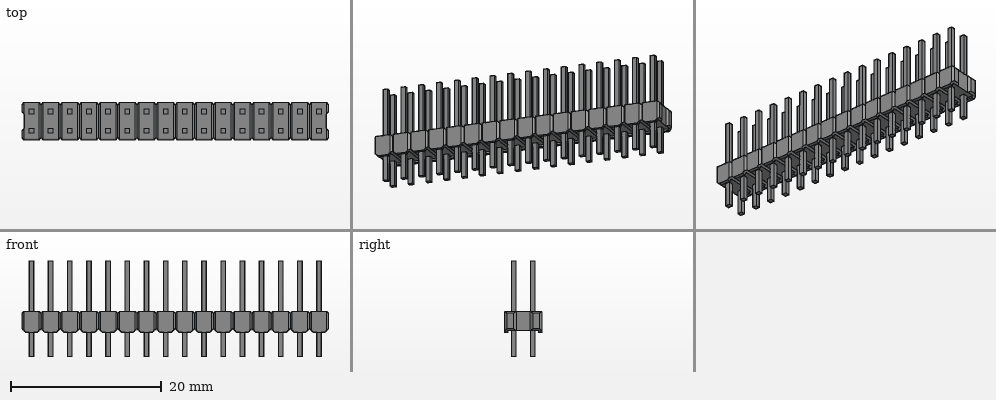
import cadquery as cq

PITCH = 2.54
COLUMNS = 16
ROWS = 2

PIN_WIDTH = 0.64
PIN_LENGTH = 12.7
PIN_TAIL = 3.2

BLOCK_DEPTH = 5.0
BLOCK_HEIGHT = 2.8
SIDE_INSET = 0.25
CORNER_SETBACK = 0.35
TOP_DROP = 0.25
TOP_RADIUS = 0.2
BOTTOM_CHAMFER = 0.5
FOOT_WIDTH = 0.5
FOOT_HEIGHT = 0.25

RECESS_DEPTH = 0.3
RECESS_MOUTH = 2.54
RECESS_FLOOR = 1.84

ROW_LENGTH = COLUMNS * PITCH


def centred_positions(count):
    """Coordinates of pitch-spaced items centred on zero."""
    return [(index - (count - 1) / 2) * PITCH for index in range(count)]


def mirrored(right_half):
    """Closed outline from its right half, which runs from bottom to top."""
    left_half = [(-across, up) for across, up in reversed(right_half)]
    return right_half + left_half


def make_block():
    """One insulator block: the overlap of solids shaped along Y, Z and X."""
    half_width = PITCH / 2
    half_depth = BLOCK_DEPTH / 2
    end_outline = [
        (half_width - BOTTOM_CHAMFER, 0),
        (half_width, BOTTOM_CHAMFER),
        (half_width, BLOCK_HEIGHT - TOP_DROP),
        (half_width - SIDE_INSET, BLOCK_HEIGHT),
    ]
    plan_outline = [
        (half_width - SIDE_INSET, -half_depth),
        (half_width, -half_depth + CORNER_SETBACK),
        (half_width, half_depth - CORNER_SETBACK),
        (half_width - SIDE_INSET, half_depth),
    ]

    along_y = cq.Workplane("XZ").polyline(mirrored(end_outline)).close().extrude(half_depth, both=True)
    along_z = cq.Workplane("XY").polyline(mirrored(plan_outline)).close().extrude(BLOCK_HEIGHT)
    along_x = cq.Workplane("XY").box(PITCH, BLOCK_DEPTH, BLOCK_HEIGHT, centered=(True, True, False))
    along_x = along_x.edges("|X and >Z").fillet(TOP_RADIUS)
    return along_y.intersect(along_z).intersect(along_x)


def make_channel():
    """Cutter that leaves a foot along each long side of the underside."""
    channel_width = BLOCK_DEPTH - 2 * FOOT_WIDTH
    return cq.Workplane("XY").box(ROW_LENGTH, channel_width, FOOT_HEIGHT, centered=(True, True, False))


def make_end_recess(side):
    """Cutter for the recess in the end face at side = -1 or +1 along X."""
    mouth_x = side * ROW_LENGTH / 2
    floor_x = mouth_x - side * RECESS_DEPTH
    outline = [
        (mouth_x, -RECESS_MOUTH / 2),
        (floor_x, -RECESS_FLOOR / 2),
        (floor_x, RECESS_FLOOR / 2),
        (mouth_x, RECESS_MOUTH / 2),
    ]
    return cq.Workplane("XY").polyline(outline).close().extrude(BLOCK_HEIGHT)


def make_pin():
    """One straight square pin."""
    pin = cq.Workplane("XY").box(PIN_WIDTH, PIN_WIDTH, PIN_LENGTH, centered=(True, True, False))
    return pin.translate((0, 0, -PIN_TAIL))


block = make_block()
insulator = cq.Workplane("XY")
for x in centred_positions(COLUMNS):
    insulator = insulator.add(block.translate((x, 0, 0)))
insulator = insulator.combine()
insulator = insulator.cut(make_channel())
for side in (-1, 1):
    insulator = insulator.cut(make_end_recess(side))

pin = make_pin()
result = insulator
for x in centred_positions(COLUMNS):
    for y in centred_positions(ROWS):
        result = result.union(pin.translate((x, y, 0)))